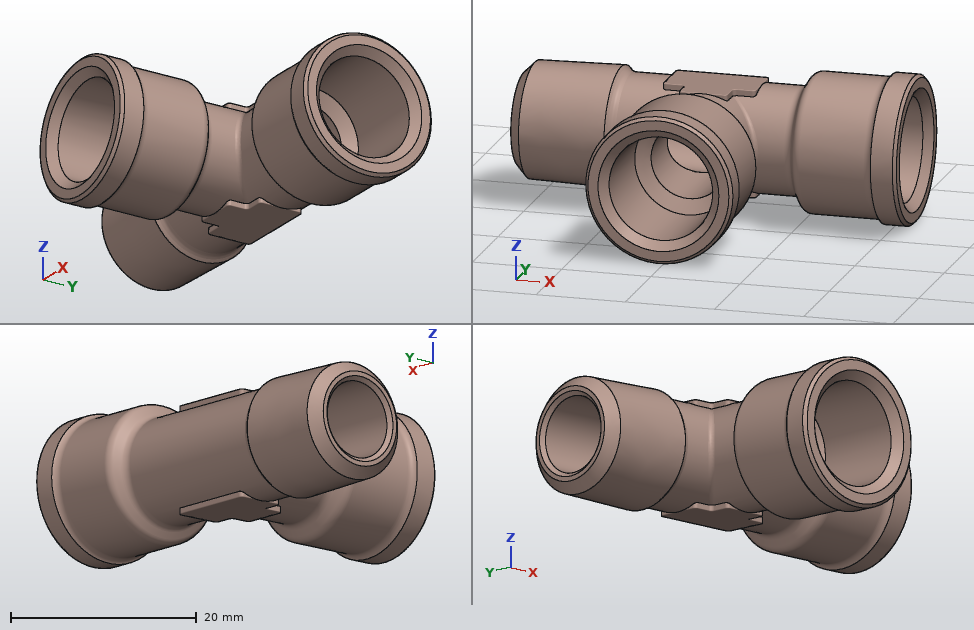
import cadquery as cq
import math

run_length = 44.0
overall_depth = 30.75
branch_x = 21.5

neck_radius = 12.0 / 2
bore_radius = 8.5 / 2
crotch_fillet = 0.5

socket_radius = 15.5 / 2
collar_radius = 16.5 / 2
branch_reach = overall_depth - collar_radius
collar_width = 2.8
collar_chamfer = 0.35
shoulder_start = 13.1
shoulder_angle = math.radians(60)
blend_radius = 1.0
socket_bore_radius = 11.6 / 2
countersink_radius = 6.78
socket_depth = 11.0
drill_angle = math.radians(59)

male_face_radius = 5.25
male_tip_radius = 6.45
male_root_radius = 6.7
male_length = 10.85
male_relief = 0.3
male_end = 11.95
male_mouth_radius = 4.7

pad_half_height = 6.05
pad_width = 10.45
pad_half_depth = 2.75
stem_width = 5.45
stem_end = 5.2
pad_corner = 0.4
pad_edge_round = 0.1


def socket_outer(inner_end):
    """Solid socket and neck on the X axis: end face at x = 0, neck to -inner_end."""
    dx = blend_radius * math.sin(shoulder_angle)
    dr = blend_radius * (1 - math.cos(shoulder_angle))
    half_dx = blend_radius * math.sin(shoulder_angle / 2)
    half_dr = blend_radius * (1 - math.cos(shoulder_angle / 2))
    cone_dr = socket_radius - neck_radius - 2 * dr
    cone_dx = cone_dr / math.tan(shoulder_angle)

    foot = -shoulder_start
    cone_end = foot + dx + cone_dx
    shoulder_end = cone_end + dx
    collar_back = -collar_width
    cove_angle = math.acos(1 - (collar_radius - socket_radius) / blend_radius)
    cove_start = collar_back - blend_radius * math.sin(cove_angle)
    cove_mid = (
        cove_start + blend_radius * math.sin(cove_angle / 2),
        socket_radius + blend_radius * (1 - math.cos(cove_angle / 2)),
    )
    profile = (
        cq.Workplane("XY")
        .moveTo(-inner_end, 0)
        .lineTo(-inner_end, neck_radius)
        .lineTo(foot, neck_radius)
        .threePointArc((foot + half_dx, neck_radius + half_dr), (foot + dx, neck_radius + dr))
        .lineTo(cone_end, socket_radius - dr)
        .threePointArc((shoulder_end - half_dx, socket_radius - half_dr), (shoulder_end, socket_radius))
        .lineTo(cove_start, socket_radius)
        .threePointArc(cove_mid, (collar_back, collar_radius))
        .lineTo(-collar_chamfer, collar_radius)
        .lineTo(0, collar_radius - collar_chamfer)
        .lineTo(0, 0)
        .close()
    )
    return profile.revolve(360, (0, 0, 0), (1, 0, 0))


def socket_inner():
    """Countersunk socket cavity on the X axis, mouth at x = 0, with a drill-point bottom."""
    countersink = countersink_radius - socket_bore_radius
    drill_point = socket_bore_radius / math.tan(drill_angle)
    profile = cq.Workplane("XY").polyline([
        (0, 0),
        (0, countersink_radius),
        (-countersink, socket_bore_radius),
        (-socket_depth, socket_bore_radius),
        (-socket_depth - drill_point, 0),
    ]).close()
    return profile.revolve(360, (0, 0, 0), (1, 0, 0))


def male_outer():
    """Tapered male end from x = 0 to the branch axis."""
    relief_end = male_length + male_relief
    relief_radius = male_root_radius - male_relief
    profile = (
        cq.Workplane("XY")
        .lineTo(0, male_face_radius)
        .lineTo(male_tip_radius - male_face_radius, male_tip_radius)
        .lineTo(male_length, male_root_radius)
        .lineTo(relief_end, relief_radius)
        .tangentArcPoint((male_end, neck_radius), relative=False)
        .lineTo(branch_x, neck_radius)
        .lineTo(branch_x, 0)
        .close()
    )
    return profile.revolve(360, (0, 0, 0), (1, 0, 0))


def bores():
    """Through bore of the run with a chamfered male mouth, joined by the branch bore."""
    chamfer = male_mouth_radius - bore_radius
    run_profile = cq.Workplane("XY").polyline([
        (0, 0),
        (0, male_mouth_radius),
        (chamfer, bore_radius),
        (run_length, bore_radius),
        (run_length, 0),
    ]).close()
    run_bore = run_profile.revolve(360, (0, 0, 0), (1, 0, 0))
    branch_bore = cq.Workplane("XZ", origin=(branch_x, 0, 0)).circle(bore_radius).extrude(branch_reach)
    return run_bore.union(branch_bore)


def to_run(shape):
    return shape.translate((run_length, 0, 0))


def to_branch(shape):
    return shape.rotate((0, 0, 0), (0, 0, 1), -90).translate((branch_x, -branch_reach, 0))


def pads():
    """T-shaped block whose two flat ends form the pads."""
    height = 2 * pad_half_height
    bar = cq.Workplane("XY").box(pad_width, 2 * pad_half_depth, height)
    stem = cq.Workplane("XY").box(stem_width, stem_end, height).translate((0, -stem_end / 2, 0))
    block = bar.union(stem).edges("|Z").fillet(pad_corner)
    block = block.faces("|Z").edges().fillet(pad_edge_round)
    return block.translate((branch_x, 0, 0))


run_reach = run_length - branch_x
body = male_outer().union(to_run(socket_outer(run_reach)))
body = body.union(to_branch(socket_outer(branch_reach)))
body = body.union(pads())
body = body.edges("%ELLIPSE").fillet(crotch_fillet)
body = body.cut(to_run(socket_inner())).cut(to_branch(socket_inner()))
result = body.cut(bores())